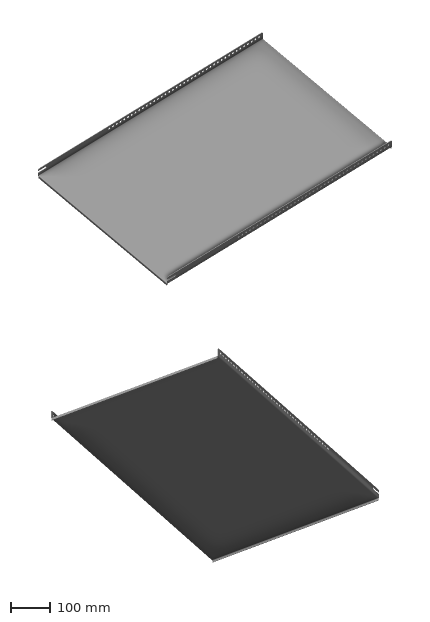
import cadquery as cq

width = 506.0
length = 750.0
height = 31.5

sheet = 1.5
inner_bend = 1.0
outer_bend = inner_bend + sheet

end_drop = 6.5
side_height = height - end_drop
corner_radius = 5.0
end_flange_width = width - 2 * outer_bend

hole_diameter = 6.5
hole_count = 41
hole_pitch = length / 60
first_hole_inset = hole_pitch
slot_length = 28.0
slot_height = hole_diameter
line_z = 15.0


def channel(plane, span, leg, run):
    """Folded channel: web on the plane's local X axis, legs rising in local Y, centred along its run."""
    half = span / 2
    outline = (
        cq.Workplane(plane)
        .moveTo(-half, leg)
        .lineTo(-half, outer_bend)
        .radiusArc((-half + outer_bend, 0), -outer_bend)
        .lineTo(half - outer_bend, 0)
        .radiusArc((half, outer_bend), -outer_bend)
        .lineTo(half, leg)
        .lineTo(half - sheet, leg)
        .lineTo(half - sheet, outer_bend)
        .radiusArc((half - outer_bend, sheet), inner_bend)
        .lineTo(-half + outer_bend, sheet)
        .radiusArc((-half + sheet, outer_bend), inner_bend)
        .lineTo(-half + sheet, leg)
        .close()
    )
    return outline.extrude(run / 2, both=True)


side_channel = channel("XZ", width, side_height, length)
side_channel = side_channel.edges("|X and >Z").edges("<Y or >Y").fillet(corner_radius)

relief_y = (length - outer_bend) / 2
end_relief = (
    cq.Workplane("XY")
    .pushPoints([(0, -relief_y), (0, relief_y)])
    .rect(end_flange_width, outer_bend)
    .extrude(sheet)
)

downward = cq.Plane(origin=(0, 0, sheet), xDir=(0, 1, 0), normal=(1, 0, 0)).rotated((180, 0, 0))
end_channel = channel(downward, length, end_drop + sheet, end_flange_width)

first_hole_y = length / 2 - first_hole_inset
hole_places = [(first_hole_y - i * hole_pitch, line_z) for i in range(hole_count)]
holes = (
    cq.Workplane("YZ")
    .pushPoints(hole_places)
    .circle(hole_diameter / 2)
    .extrude(width / 2, both=True)
)

slots = (
    cq.Workplane("YZ")
    .center(-length / 2, line_z)
    .slot2D(2 * slot_length, slot_height)
    .extrude(width / 2, both=True)
)

result = side_channel.cut(end_relief).union(end_channel).cut(holes).cut(slots)